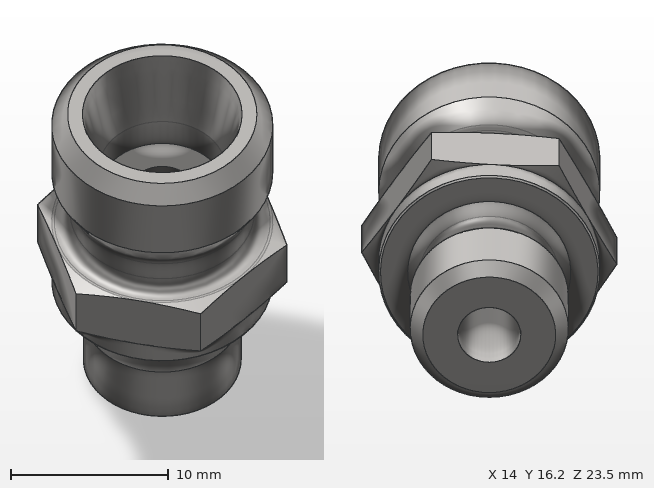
import cadquery as cq
import math

height = 23.5
bore_diameter = 4.0
socket_mouth_diameter = 10.1
socket_floor_diameter = 8.0
socket_half_angle = math.radians(12)
socket_depth = 7.0

body_radius = 14.0 / 2
top_chamfer = 1.0
head_bottom = 18.15
head_cone_angle = math.radians(30)
neck_radius = 11.7 / 2
groove_radius = 0.99

hex_across_flats = 14.0
hex_top = 13.51
hex_bottom = 9.5
hex_chamfer_angle = math.radians(15)
collar_bottom = 8.0
collar_chamfer = 0.12

stud_radius = 10.0 / 2
stud_chamfer = 0.8
stud_top = 4.9
stud_cone_angle = math.radians(30)
undercut_radius = 4.18
undercut_flare_angle = math.radians(45)


def groove_point(center, angle):
    """Point (r, z) on a groove round, with the angle measured up from the inward direction."""
    return (
        center[0] - groove_radius * math.cos(angle),
        center[1] + groove_radius * math.sin(angle),
    )


def turned_body():
    """Outer turned form, without the hexagon."""
    undercut_r = undercut_radius + groove_radius
    cone_end_r, _ = groove_point((undercut_r, 0), -stud_cone_angle)
    cone_end_z = stud_top + (stud_radius - cone_end_r) / math.tan(stud_cone_angle)
    undercut = (undercut_r, cone_end_z + groove_radius * math.sin(stud_cone_angle))
    flare_start = groove_point(undercut, undercut_flare_angle)
    flare_rise = collar_bottom - flare_start[1]
    flare_end_r = flare_start[0] + flare_rise * math.tan(undercut_flare_angle)

    foot = (neck_radius + groove_radius, hex_top + groove_radius)

    neck_corner_z = head_bottom - (body_radius - neck_radius) / math.tan(head_cone_angle)
    blend_length = groove_radius * math.tan(head_cone_angle / 2)
    blend = (neck_radius + groove_radius, neck_corner_z - blend_length)

    return (
        cq.Workplane("XZ")
        .lineTo(stud_radius - stud_chamfer, 0)
        .lineTo(stud_radius, stud_chamfer)
        .lineTo(stud_radius, stud_top)
        .lineTo(cone_end_r, cone_end_z)
        .threePointArc(groove_point(undercut, 0), flare_start)
        .lineTo(flare_end_r, collar_bottom)
        .lineTo(body_radius - collar_chamfer, collar_bottom)
        .lineTo(body_radius, collar_bottom + collar_chamfer)
        .lineTo(body_radius, hex_top)
        .lineTo(foot[0], hex_top)
        .threePointArc(groove_point(foot, -math.pi / 4), groove_point(foot, 0))
        .lineTo(*groove_point(blend, 0))
        .threePointArc(
            groove_point(blend, head_cone_angle / 2), groove_point(blend, head_cone_angle)
        )
        .lineTo(body_radius, head_bottom)
        .lineTo(body_radius, height - top_chamfer)
        .lineTo(body_radius - top_chamfer, height)
        .lineTo(0, height)
        .close()
        .revolve(360, (0, 0), (0, 1))
    )


def hexagon():
    """Hexagon with flats facing +X and -X and conical chamfers on both ends."""
    corner_radius = hex_across_flats / 2 / math.cos(math.pi / 6)
    chamfer_drop = (corner_radius - body_radius) * math.tan(hex_chamfer_angle)
    prism = (
        cq.Workplane("XY", origin=(0, 0, hex_bottom))
        .polygon(6, 2 * corner_radius)
        .extrude(hex_top - hex_bottom)
        .rotate((0, 0, 0), (0, 0, 1), 30)
    )
    envelope = (
        cq.Workplane("XZ")
        .moveTo(0, hex_bottom)
        .lineTo(body_radius, hex_bottom)
        .lineTo(corner_radius, hex_bottom + chamfer_drop)
        .lineTo(corner_radius, hex_top - chamfer_drop)
        .lineTo(body_radius, hex_top)
        .lineTo(0, hex_top)
        .close()
        .revolve(360, (0, 0), (0, 1))
    )
    return prism.intersect(envelope)


def bores():
    """Through bore opening into a flat-floored socket with a tapered mouth."""
    bore_radius = bore_diameter / 2
    mouth_radius = socket_mouth_diameter / 2
    floor_radius = socket_floor_diameter / 2
    taper_depth = (mouth_radius - floor_radius) / math.tan(socket_half_angle)
    return (
        cq.Workplane("XZ")
        .lineTo(bore_radius, 0)
        .lineTo(bore_radius, height - socket_depth)
        .lineTo(floor_radius, height - socket_depth)
        .lineTo(floor_radius, height - taper_depth)
        .lineTo(mouth_radius, height)
        .lineTo(0, height)
        .close()
        .revolve(360, (0, 0), (0, 1))
    )


result = turned_body().union(hexagon()).cut(bores())